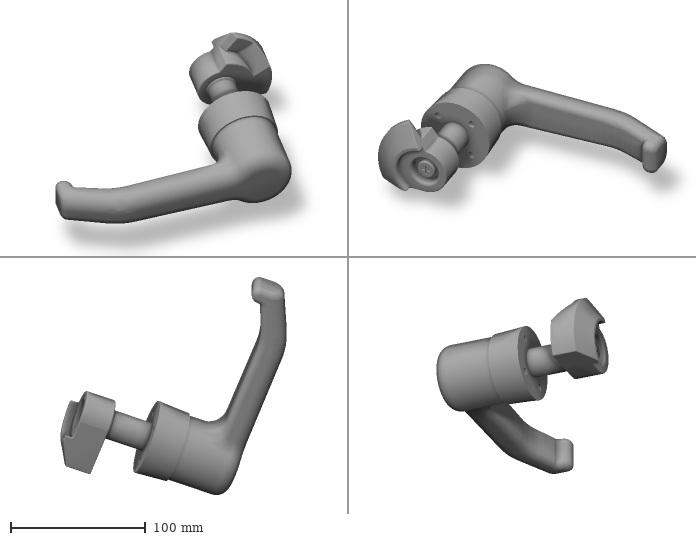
import cadquery as cq
import math


TOLERANCE = 0.1

FLANGE_LENGTH = 24.3
FLANGE_FRONT_RADIUS = 28.1
FLANGE_BACK_RADIUS = 26.6
FLANGE_HOLE_RADIUS = 2.7
FLANGE_HOLE_CIRCLE_RADIUS = 19.4
FLANGE_HOLE_COUNT = 4

HANDLE_END = 70.3
HUB_RADIUS = 25.0
ARM_DEPTH = 20.7
ARM_INNER_X = HANDLE_END - ARM_DEPTH
ARM_TIP_Y = -150.0
ARM_HALF_WIDTH_AT_AXIS = 15.4
ARM_HALF_WIDTH_AT_TIP = 12.5
OUTER_ROUND = 9.9
INNER_ROUND = 5.0
JUNCTION_ROUND = 14.5
BEND_START_Y = -99.2
BEND_RADIUS = 51.0
OUTER_BEND_ANGLE = 24.0
INNER_BEND_ANGLE = 20.8
LOBE_LEFT_X = 29.5
LOBE_RADIUS = 6.8
LOBE_CENTER_Y = -144.2

SPINDLE_RADIUS = 11.0

CAM_BACK = -31.2
HUB_FACE = -54.0
CAM_FRONT = -59.7
CAM_HUB_RADIUS = 18.0
CAM_CORE_RADIUS = 25.5
CAM_RADIUS = 39.9
CONE_SMALL_RADIUS = 23.4
CONE_BACK = -50.2
RING_INNER_RADIUS = 20.5
CAM_EDGE_ROUND = 0.85
CAM_BOTTOM_Z = -17.9
CAM_SIDE_ANGLE = 51.4
CAM_SIDE_DISTANCE = 12.3
COLLAR_RADIUS = 12.0
COLLAR_LENGTH = 2.3
COLLAR_CHAMFER = 1.0
RAMP_FLOOR = -44.3
RAMP_DIRECTION = 28.0
RAMP_BOTTOM_OFFSET = 9.5
RAMP_TOP_OFFSET = -7.8
RAMP_FILLET = 2.8
LEAD_IN_DEPTH = 5.1
LEAD_IN_WIDTH = 3.2
RECESS_RADIUS = 10.8
RECESS_LIP = 2.0
RECESS_FLOOR = -46.7

WASHER_RADIUS = 8.5
WASHER_ROOT_RADIUS = 7.5
WASHER_THICKNESS = 0.8
WASHER_TOOTH_COUNT = 20
SCREW_HEAD_RADIUS = 7.0
SCREW_HEAD_CHAMFER = 0.8
SCREW_HEAD_HEIGHT = 4.2
SCREW_SHANK_RADIUS = 3.6
CROSS_LENGTH = 7.5
CROSS_WIDTH = 1.3
CROSS_DEPTH = 1.5


def disc(radius, start, end):
    """Cylinder about the spindle axis between two X positions."""
    return cq.Workplane("YZ").workplane(offset=start).circle(radius).extrude(end - start)


def revolved(points):
    """Body of revolution about the spindle axis from (x, radius) points."""
    return cq.Workplane("XY").polyline(points).close().revolve(360, (0, 0, 0), (1, 0, 0))


def make_flange():
    body = revolved([
        (0, 0), (0, FLANGE_FRONT_RADIUS), (FLANGE_LENGTH, FLANGE_BACK_RADIUS), (FLANGE_LENGTH, 0),
    ])
    holes = (
        cq.Workplane("YZ")
        .polarArray(FLANGE_HOLE_CIRCLE_RADIUS, 360 / FLANGE_HOLE_COUNT / 2, 360, FLANGE_HOLE_COUNT)
        .circle(FLANGE_HOLE_RADIUS)
        .extrude(FLANGE_LENGTH)
    )
    return body.cut(holes).cut(disc(SPINDLE_RADIUS, 0, FLANGE_LENGTH))


def bend_point(start_x, angle):
    """Point at the given turn of a bend that starts parallel to the arm."""
    turn = math.radians(angle)
    return (
        start_x - BEND_RADIUS * (1 - math.cos(turn)),
        BEND_START_Y - BEND_RADIUS * math.sin(turn),
    )


def make_arm():
    outer_end = bend_point(HANDLE_END, OUTER_BEND_ANGLE)
    inner_end = bend_point(ARM_INNER_X, INNER_BEND_ANGLE)
    outer_tip_x = outer_end[0] - (outer_end[1] - ARM_TIP_Y) * math.tan(math.radians(OUTER_BEND_ANGLE))
    neck = (39.3, -134.5)
    lobe_center = (LOBE_LEFT_X + LOBE_RADIUS, LOBE_CENTER_Y)
    lobe_top = (lobe_center[0], LOBE_CENTER_Y + LOBE_RADIUS)
    diagonal = LOBE_RADIUS * math.sqrt(0.5)
    outline = (
        cq.Workplane("XY")
        .moveTo(HANDLE_END, 0)
        .lineTo(HANDLE_END, BEND_START_Y)
        .threePointArc(bend_point(HANDLE_END, OUTER_BEND_ANGLE / 2), outer_end)
        .lineTo(outer_tip_x, ARM_TIP_Y)
        .lineTo(LOBE_LEFT_X, ARM_TIP_Y)
        .lineTo(LOBE_LEFT_X, LOBE_CENTER_Y)
        .threePointArc((lobe_center[0] - diagonal, lobe_center[1] + diagonal), lobe_top)
        .tangentArcPoint(neck, relative=False)
        .lineTo(*inner_end)
        .threePointArc(bend_point(ARM_INNER_X, INNER_BEND_ANGLE / 2), (ARM_INNER_X, BEND_START_Y))
        .lineTo(ARM_INNER_X, 0)
        .close()
        .extrude(ARM_HALF_WIDTH_AT_AXIS, both=True)
    )
    taper = (
        cq.Workplane("YZ")
        .polyline([
            (0, ARM_HALF_WIDTH_AT_AXIS), (ARM_TIP_Y, ARM_HALF_WIDTH_AT_TIP),
            (ARM_TIP_Y, -ARM_HALF_WIDTH_AT_TIP), (0, -ARM_HALF_WIDTH_AT_AXIS),
        ])
        .close()
        .extrude(HANDLE_END)
    )
    return outline.intersect(taper)


def in_box(shape, corner, opposite):
    """Edges whose centres lie inside a box."""
    return shape.edges(cq.selectors.BoxSelector(corner, opposite))


def round_arm_inside(arm):
    """Round the long arm edges on the side that faces the cam, lobe included."""
    for sign in (1, -1):
        low_z = sign * ARM_HALF_WIDTH_AT_TIP / 2
        high_z = sign * ARM_HALF_WIDTH_AT_AXIS
        arm = in_box(
            arm, (0, ARM_TIP_Y + 0.2, low_z), (ARM_INNER_X + 0.2, -HUB_RADIUS, high_z)
        ).fillet(INNER_ROUND)
    return arm


def round_outside(handle):
    """Round the closed end of the hub and the outer arm edges that run on from it."""
    end_edges = handle.faces(">X").edges().vals()
    arm_middle_x = ARM_INNER_X + ARM_DEPTH / 3
    for sign in (1, -1):
        end_edges += in_box(
            handle,
            (arm_middle_x, ARM_TIP_Y + 0.2, sign * ARM_HALF_WIDTH_AT_TIP / 2),
            (HANDLE_END, BEND_START_Y, sign * ARM_HALF_WIDTH_AT_AXIS),
        ).vals()
    return handle.newObject(end_edges).fillet(OUTER_ROUND)


def make_handle():
    hub = disc(HUB_RADIUS, FLANGE_LENGTH, HANDLE_END)
    handle = hub.union(round_arm_inside(make_arm()))
    junction_start_x = (FLANGE_LENGTH + HANDLE_END) / 2 + 1.0
    handle = in_box(
        handle,
        (junction_start_x, -HUB_RADIUS, -ARM_HALF_WIDTH_AT_AXIS),
        (HANDLE_END - 0.2, -HUB_RADIUS / 2, ARM_HALF_WIDTH_AT_AXIS),
    ).fillet(JUNCTION_ROUND)
    handle = round_outside(handle)
    return handle.faces("<Y").edges().fillet(INNER_ROUND)


def make_spindle():
    return disc(SPINDLE_RADIUS, CAM_BACK, FLANGE_LENGTH)


def turned_plane(angle):
    """Plane through the spindle axis: local x runs along X, the normal points out at the angle."""
    turn = math.radians(angle)
    return cq.Plane(origin=(0, 0, 0), xDir=(1, 0, 0), normal=(0, math.cos(turn), math.sin(turn)))


def sector_blank():
    """Wedge bounded by the flat bottom and the slanted side of the cam."""
    turn = math.radians(CAM_SIDE_ANGLE)
    reach = 2 * CAM_RADIUS
    hub_chord = math.sqrt(CAM_HUB_RADIUS**2 - CAM_SIDE_DISTANCE**2)

    def side_point(distance):
        return (
            distance * math.cos(turn) - CAM_SIDE_DISTANCE * math.sin(turn),
            distance * math.sin(turn) + CAM_SIDE_DISTANCE * math.cos(turn),
        )

    return (
        cq.Workplane("YZ")
        .workplane(offset=CAM_FRONT)
        .polyline([side_point(hub_chord), side_point(reach), (reach, CAM_BOTTOM_Z), (0, CAM_BOTTOM_Z)])
        .close()
        .extrude(CAM_BACK - CAM_FRONT)
    )


def rim_relief():
    """Space behind the rim: a flat floor, a ramp up to the back face and a lead-in slope."""
    reach = 2 * CAM_RADIUS
    ramp = (
        cq.Workplane(turned_plane(RAMP_DIRECTION))
        .polyline([
            (RAMP_FLOOR, -RAMP_BOTTOM_OFFSET), (CAM_BACK, -RAMP_TOP_OFFSET),
            (CAM_BACK, -reach), (RAMP_FLOOR, -reach),
        ])
        .close()
        .extrude(reach)
        .edges(cq.selectors.NearestToPointSelector((RAMP_FLOOR, reach / 2, reach / 4)))
        .fillet(RAMP_FILLET)
    )
    lead_in = (
        cq.Workplane(turned_plane(CAM_SIDE_ANGLE))
        .polyline([
            (RAMP_FLOOR - LEAD_IN_DEPTH, -CAM_SIDE_DISTANCE),
            (RAMP_FLOOR, LEAD_IN_WIDTH - CAM_SIDE_DISTANCE),
            (RAMP_FLOOR, -CAM_SIDE_DISTANCE),
        ])
        .close()
        .extrude(reach)
    )
    return ramp.union(lead_in).cut(disc(CAM_CORE_RADIUS, CAM_FRONT, CAM_BACK))


def make_sector():
    """Cam plate with its raised conical rim, relieved behind the rim."""
    sector = revolved([
        (HUB_FACE, 0), (HUB_FACE, RING_INNER_RADIUS), (CAM_FRONT, RING_INNER_RADIUS),
        (CAM_FRONT, CONE_SMALL_RADIUS), (CONE_BACK, CAM_RADIUS), (CAM_BACK, CAM_RADIUS), (CAM_BACK, 0),
    ])
    return sector.intersect(sector_blank()).cut(rim_relief())


def is_rounded(edge):
    """True for cam edges outside the hub, leaving out the bottom edges of the rim relief."""
    points = edge.positions([0, 0.5, 1])
    radii = [math.hypot(point.y, point.z) for point in points]
    turn = math.radians(CAM_SIDE_ANGLE)
    middle = points[1]
    side_distance = middle.z * math.cos(turn) - middle.y * math.sin(turn)
    on_outside = (
        radii[1] > CAM_RADIUS - TOLERANCE
        or side_distance > CAM_SIDE_DISTANCE - TOLERANCE
        or middle.z < CAM_BOTTOM_Z + TOLERANCE
        or middle.x < HUB_FACE + TOLERANCE
        or middle.x > CAM_BACK - TOLERANCE
    )
    return on_outside and max(radii) > CAM_HUB_RADIUS - TOLERANCE


def make_cam():
    hub = disc(CAM_HUB_RADIUS, HUB_FACE, CAM_BACK)
    bottom_slab = (
        cq.Workplane("XY")
        .workplane(offset=CAM_BOTTOM_Z)
        .rect(3 * CAM_RADIUS, CAM_RADIUS)
        .extrude(-CAM_RADIUS)
        .translate((CAM_BACK, 0, 0))
    )
    cam = make_sector().union(hub.cut(bottom_slab))
    cam = cam.newObject([edge for edge in cam.edges().vals() if is_rounded(edge)]).fillet(CAM_EDGE_ROUND)

    collar = disc(COLLAR_RADIUS, CAM_BACK, CAM_BACK + COLLAR_LENGTH).faces(">X").chamfer(COLLAR_CHAMFER)
    cam = cam.union(collar).cut(disc(RECESS_RADIUS, HUB_FACE, RECESS_FLOOR))
    lip = cq.selectors.BoxSelector(
        (HUB_FACE - TOLERANCE, -TOLERANCE, -TOLERANCE), (HUB_FACE + TOLERANCE, TOLERANCE, TOLERANCE)
    )
    cam = cam.edges("%CIRCLE").edges(lip).fillet(RECESS_LIP)
    spindle_seat = disc(SPINDLE_RADIUS, CAM_BACK, CAM_BACK + COLLAR_LENGTH)
    screw_hole = disc(SCREW_SHANK_RADIUS, RECESS_FLOOR, CAM_BACK)
    return cam.cut(spindle_seat).cut(screw_hole)


def make_washer():
    root = disc(WASHER_ROOT_RADIUS, RECESS_FLOOR - WASHER_THICKNESS, RECESS_FLOOR)
    pitch = 360 / WASHER_TOOTH_COUNT
    tooth_width = math.pi * WASHER_RADIUS / WASHER_TOOTH_COUNT
    for index in range(WASHER_TOOTH_COUNT):
        tooth = (
            cq.Workplane("XY")
            .box(WASHER_THICKNESS, WASHER_RADIUS - SCREW_SHANK_RADIUS, tooth_width)
            .translate((RECESS_FLOOR - WASHER_THICKNESS / 2, (WASHER_RADIUS + SCREW_SHANK_RADIUS) / 2, 0))
            .rotate((0, 0, 0), (1, 0, 0), index * pitch)
        )
        root = root.union(tooth)
    return root.cut(disc(SCREW_SHANK_RADIUS, RECESS_FLOOR - WASHER_THICKNESS, RECESS_FLOOR))


def make_screw():
    seat = RECESS_FLOOR - WASHER_THICKNESS
    top = seat - SCREW_HEAD_HEIGHT
    head = disc(SCREW_HEAD_RADIUS, top, seat).faces("<X").chamfer(SCREW_HEAD_CHAMFER)
    shank = disc(SCREW_SHANK_RADIUS, seat, CAM_BACK)
    slot = cq.Workplane("YZ").workplane(offset=top).rect(CROSS_LENGTH, CROSS_WIDTH).extrude(CROSS_DEPTH)
    cross = slot.union(slot.rotate((0, 0, 0), (1, 0, 0), 90))
    return head.union(shank).cut(cross)


handle = make_handle()
flange = make_flange()
spindle = make_spindle()
cam = make_cam()
washer = make_washer()
screw = make_screw()

result = cq.Compound.makeCompound([
    handle.val(), flange.val(), spindle.val(), cam.val(), washer.val(), screw.val(),
])